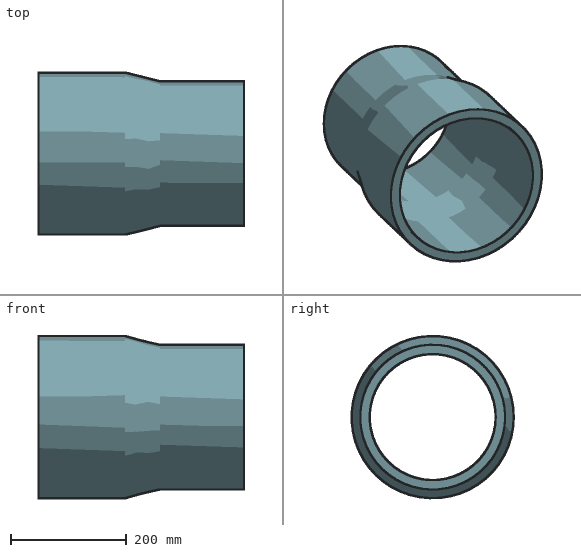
import cadquery as cq

total_length = 355.0
wide_length = 150.0
narrow_length = 145.0
wide_outer_diameter = 280.0
wide_bore_diameter = 246.7
narrow_outer_diameter = 250.0
narrow_bore_diameter = 217.0

cone_start = wide_length
cone_end = total_length - narrow_length


def stepped_cone(wide_diameter, narrow_diameter):
    """Solid of revolution about X: cylinder, cone, then smaller cylinder."""
    wide_radius = wide_diameter / 2
    narrow_radius = narrow_diameter / 2
    return (
        cq.Workplane("XY")
        .lineTo(0, wide_radius)
        .lineTo(cone_start, wide_radius)
        .lineTo(cone_end, narrow_radius)
        .lineTo(total_length, narrow_radius)
        .lineTo(total_length, 0)
        .close()
        .revolve(360, (0, 0, 0), (1, 0, 0))
    )


outer_body = stepped_cone(wide_outer_diameter, narrow_outer_diameter)
bore = stepped_cone(wide_bore_diameter, narrow_bore_diameter)

result = outer_body.cut(bore)